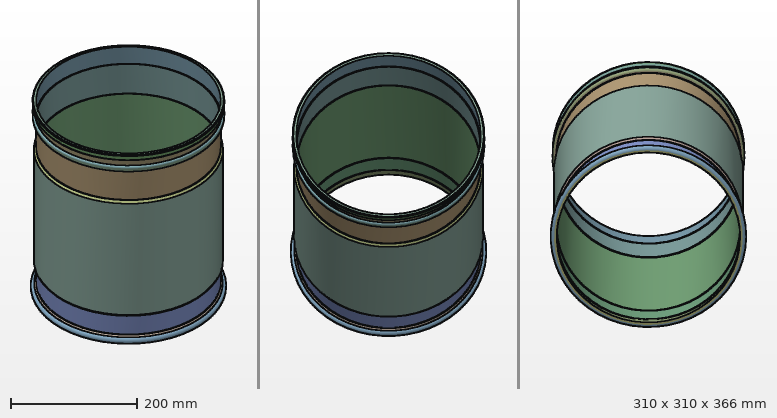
import cadquery as cq

total_height = 366.0

tube_inner_dia = 290.0
tube_outer_dia = 293.0
collar_inner_dia = 292.0
collar_neck_dia = 297.0
collar_bead_dia = 304.0
sleeve_inner_dia = 292.0
sleeve_outer_dia = 299.5
ring_shoulder_dia = 299.0
ring_outer_dia = 310.0

ring_top = 14.3
sleeve_bottom = 51.0
sleeve_top = 275.0
collar_bottom = 333.0

sleeve_chamfer_height = 4.5
bead_height = 11.0
bead_round = 3.3
lip_chamfer = 1.5
ring_rim_height = 11.5


def revolve_profile(profile):
    """Turn an XZ half section about the Z axis."""
    return profile.close().revolve(360, (0, 0, 0), (0, 1, 0))


def make_tube(bottom, top):
    """Plain thin tube between two heights."""
    return (
        cq.Workplane("XY", origin=(0, 0, bottom))
        .circle(tube_outer_dia / 2)
        .circle(tube_inner_dia / 2)
        .extrude(top - bottom)
    )


def make_bottom_ring():
    """End ring with a rounded rim and a cone that rises to the lower tube."""
    inner = tube_inner_dia / 2
    outer = ring_outer_dia / 2
    shoulder = ring_shoulder_dia / 2
    rim_radius = ring_rim_height / 2
    return revolve_profile(
        cq.Workplane("XZ")
        .moveTo(inner, 0)
        .lineTo(outer - rim_radius, 0)
        .threePointArc((outer, rim_radius), (outer - rim_radius, ring_rim_height))
        .lineTo(shoulder, ring_rim_height)
        .lineTo(tube_outer_dia / 2, ring_top)
        .lineTo(inner, ring_top)
    )


def make_sleeve():
    """Wide middle sleeve, coned in to the tube diameter at both ends."""
    inner = sleeve_inner_dia / 2
    end = tube_outer_dia / 2
    outer = sleeve_outer_dia / 2
    return revolve_profile(
        cq.Workplane("XZ")
        .moveTo(inner, sleeve_bottom)
        .lineTo(end, sleeve_bottom)
        .lineTo(outer, sleeve_bottom + sleeve_chamfer_height)
        .lineTo(outer, sleeve_top - sleeve_chamfer_height)
        .lineTo(end, sleeve_top)
        .lineTo(inner, sleeve_top)
    )


def make_collar():
    """Top collar with a bead at each end and a groove between the beads."""
    inner = collar_inner_dia / 2
    neck = collar_neck_dia / 2
    bead = collar_bead_dia / 2
    body = revolve_profile(
        cq.Workplane("XZ")
        .moveTo(inner, collar_bottom)
        .lineTo(bead, collar_bottom)
        .lineTo(bead, collar_bottom + bead_height)
        .lineTo(neck, collar_bottom + bead_height)
        .lineTo(neck, total_height - bead_height)
        .lineTo(bead, total_height - bead_height)
        .lineTo(bead, total_height)
        .lineTo(inner, total_height)
    )
    largest = cq.selectors.RadiusNthSelector(-1)
    body = body.edges("%CIRCLE").edges(largest).edges("not >Z").fillet(bead_round)
    return body.faces(">Z").edges(largest).chamfer(lip_chamfer)



bottom_ring = make_bottom_ring()
lower_tube = make_tube(ring_top, sleeve_bottom)
sleeve = make_sleeve()
upper_tube = make_tube(sleeve_top, collar_bottom)
collar = make_collar()

result = cq.Compound.makeCompound(
    [bottom_ring.val(), lower_tube.val(), sleeve.val(), upper_tube.val(), collar.val()]
)